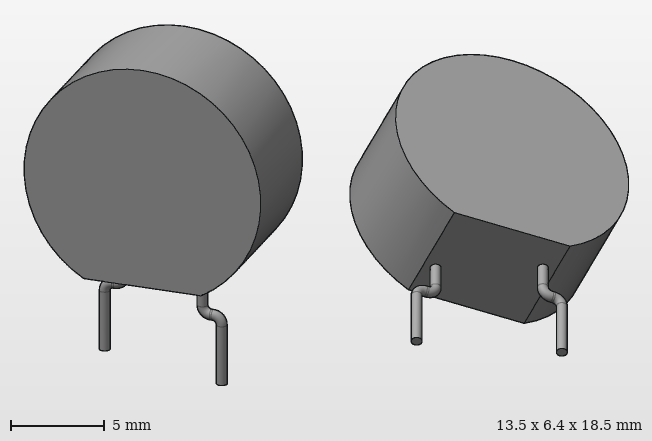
import cadquery as cq
import math

total_height = 18.5
body_diameter = 13.5
body_thickness = 6.4

lead_length = 5.88
lead_diameter = 0.6
root_spacing = 5.3
tip_spacing = 7.5
lead_stagger = 2.2
root_length = 1.46
bend_radius = 0.5

body_radius = body_diameter / 2
flat_z = body_radius - (total_height - lead_length)
flat_half_width = math.sqrt(body_radius**2 - flat_z**2)


def make_body():
    """Disc with one flat cut along its bottom edge."""
    return (
        cq.Workplane("XZ", origin=(0, body_thickness / 2, 0))
        .moveTo(-flat_half_width, flat_z)
        .threePointArc((0, body_radius), (flat_half_width, flat_z))
        .close()
        .extrude(body_thickness)
    )


def make_lead(side):
    """Round wire jogged outward; side is -1 for the -X lead and +1 for the +X lead."""
    root_x = side * root_spacing / 2
    tip_x = side * tip_spacing / 2
    lead_y = -side * lead_stagger / 2
    bend_top_z = flat_z - root_length
    jog_z = bend_top_z - bend_radius
    bend_bottom_z = jog_z - bend_radius
    tip_z = flat_z - lead_length
    jog_start_x = root_x + side * bend_radius
    jog_end_x = tip_x - side * bend_radius
    arc_offset = bend_radius * math.sqrt(0.5)

    centerline = (
        cq.Workplane("XZ", origin=(0, lead_y, 0))
        .moveTo(root_x, flat_z)
        .lineTo(root_x, bend_top_z)
        .threePointArc(
            (jog_start_x - side * arc_offset, bend_top_z - arc_offset),
            (jog_start_x, jog_z),
        )
        .lineTo(jog_end_x, jog_z)
        .threePointArc(
            (jog_end_x + side * arc_offset, bend_bottom_z + arc_offset),
            (tip_x, bend_bottom_z),
        )
        .lineTo(tip_x, tip_z)
    )
    return (
        cq.Workplane("XY", origin=(root_x, lead_y, flat_z))
        .circle(lead_diameter / 2)
        .sweep(centerline)
    )


body = make_body()
leads = [make_lead(side) for side in (-1, 1)]

result = cq.Compound.makeCompound([body.val(), *[lead.val() for lead in leads]])